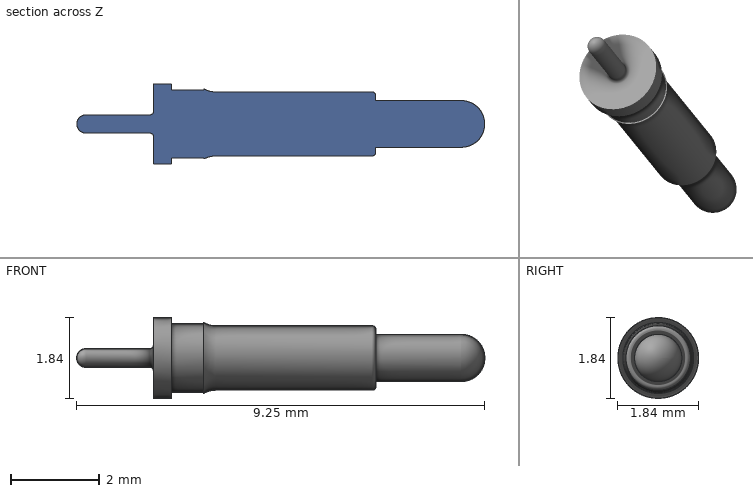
import cadquery as cq
import math

total_length = 9.25

tail_radius = 0.21
tail_length = 1.74
tail_root_fillet = 0.07

flange_radius = 0.92
flange_thickness = 0.42

neck_radius = 0.78
neck_length = 0.72

barb_radius = 0.805
barb_length = 0.28

barrel_radius = 0.73
barrel_length = 3.63
barrel_edge_round = 0.08

plunger_radius = 0.54

x_tail_tip = -total_length / 2
x_flange = x_tail_tip + tail_length
x_neck = x_flange + flange_thickness
x_barb = x_neck + neck_length
x_barrel = x_barb + barb_length
x_barrel_end = x_barrel + barrel_length
x_plunger_tip = total_length / 2

diagonal = math.sqrt(0.5)

barb_height = barb_radius - barrel_radius
flank_radius = (barb_length**2 + barb_height**2) / (2 * barb_height)
flank_half_angle = math.asin(barb_length / flank_radius) / 2
flank_middle = (
    x_barrel - flank_radius * math.sin(flank_half_angle),
    barrel_radius + flank_radius * (1 - math.cos(flank_half_angle)),
)

tail_dome_middle = (
    x_tail_tip + tail_radius * (1 - diagonal),
    tail_radius * diagonal,
)
tail_root_middle = (
    x_flange - tail_root_fillet * (1 - diagonal),
    tail_radius + tail_root_fillet * (1 - diagonal),
)
barrel_edge_middle = (
    x_barrel_end - barrel_edge_round * (1 - diagonal),
    barrel_radius - barrel_edge_round * (1 - diagonal),
)
plunger_dome_middle = (
    x_plunger_tip - plunger_radius * (1 - diagonal),
    plunger_radius * diagonal,
)

half_profile = (
    cq.Workplane("XY")
    .moveTo(x_tail_tip, 0)
    .threePointArc(tail_dome_middle, (x_tail_tip + tail_radius, tail_radius))
    .lineTo(x_flange - tail_root_fillet, tail_radius)
    .threePointArc(tail_root_middle, (x_flange, tail_radius + tail_root_fillet))
    .lineTo(x_flange, flange_radius)
    .lineTo(x_neck, flange_radius)
    .lineTo(x_neck, neck_radius)
    .lineTo(x_barb, neck_radius)
    .lineTo(x_barb, barb_radius)
    .threePointArc(flank_middle, (x_barrel, barrel_radius))
    .lineTo(x_barrel_end - barrel_edge_round, barrel_radius)
    .threePointArc(barrel_edge_middle, (x_barrel_end, barrel_radius - barrel_edge_round))
    .lineTo(x_barrel_end, plunger_radius)
    .lineTo(x_plunger_tip - plunger_radius, plunger_radius)
    .threePointArc(plunger_dome_middle, (x_plunger_tip, 0))
    .close()
)

result = half_profile.revolve(360, (0, 0, 0), (1, 0, 0))